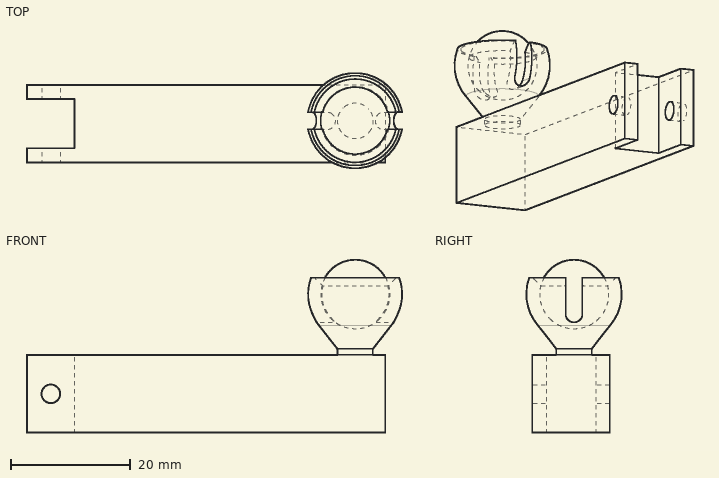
import cadquery as cq
import math

overall_length = 62.8

arm_length = 60.0
arm_side = 13.0
arm_y = -0.5
fork_depth = 8.0
fork_gap = 8.2
pin_hole_diameter = 3.1
pin_hole_x = 4.0
pin_hole_z = arm_side / 2

socket_diameter = 16.0
mouth_radius = 7.0
neck_diameter = 6.0
neck_height = 1.0
cone_height = 3.95
rim_rise = 2.75
slot_width = 2.8
slot_depth = 4.7

ball_radius = 5.8
ball_center_z = 23.2

socket_radius = socket_diameter / 2

socket_x = overall_length - math.sqrt(socket_radius**2 - (slot_width / 2) ** 2)
neck_radius = neck_diameter / 2
neck_top_z = arm_side + neck_height
cone_top_z = neck_top_z + cone_height
cone_top_radius = math.sqrt(socket_radius**2 - (ball_center_z - cone_top_z) ** 2)
rim_z = ball_center_z + rim_rise
rim_radius = math.sqrt(socket_radius**2 - rim_rise**2)


def make_bar():
    """Square bar with an open fork and a pin hole through both prongs."""
    bar = cq.Workplane("XY").box(arm_length, arm_side, arm_side, centered=(False, True, False))
    fork = cq.Workplane("XY").box(fork_depth, fork_gap, arm_side, centered=(False, True, False))
    pin_hole = (
        cq.Workplane("XZ")
        .center(pin_hole_x, pin_hole_z)
        .circle(pin_hole_diameter / 2)
        .extrude(arm_side / 2, both=True)
    )
    return bar.cut(fork).cut(pin_hole).translate((0, arm_y, 0))


def make_ball():
    """Ball centred in the socket; also the shape of its seat."""
    return cq.Workplane("XY").sphere(ball_radius).translate((socket_x, 0, ball_center_z))


def make_mouth():
    """45 degree cone that opens the seat from the ball out to the rim."""
    return (
        cq.Workplane("XZ", origin=(socket_x, 0, 0))
        .moveTo(0, rim_z)
        .lineTo(mouth_radius, rim_z)
        .lineTo(0, rim_z - mouth_radius)
        .close()
        .revolve(360, (0, 0, 0), (0, 1, 0))
    )


def make_slot():
    """Round-bottomed slot that runs along X through both socket walls."""
    slot_radius = slot_width / 2
    arc_center_z = ball_center_z - slot_depth + slot_radius
    return (
        cq.Workplane("YZ", origin=(socket_x, 0, 0))
        .moveTo(-slot_radius, rim_z)
        .lineTo(-slot_radius, arc_center_z)
        .threePointArc((0, arc_center_z - slot_radius), (slot_radius, arc_center_z))
        .lineTo(slot_radius, rim_z)
        .close()
        .extrude(socket_radius, both=True)
    )


def make_socket():
    """Revolved neck, cone and cup, hollowed by the seat and mouth and split by the slot."""
    outside = (
        cq.Workplane("XZ", origin=(socket_x, 0, 0))
        .moveTo(0, arm_side)
        .lineTo(neck_radius, arm_side)
        .lineTo(neck_radius, neck_top_z)
        .lineTo(cone_top_radius, cone_top_z)
        .threePointArc((socket_radius, ball_center_z), (rim_radius, rim_z))
        .lineTo(0, rim_z)
        .close()
        .revolve(360, (0, 0, 0), (0, 1, 0))
    )
    return outside.cut(make_ball()).cut(make_mouth()).cut(make_slot())


arm = make_bar().union(make_socket())
ball = make_ball()

result = cq.Compound.makeCompound([arm.val(), ball.val()])